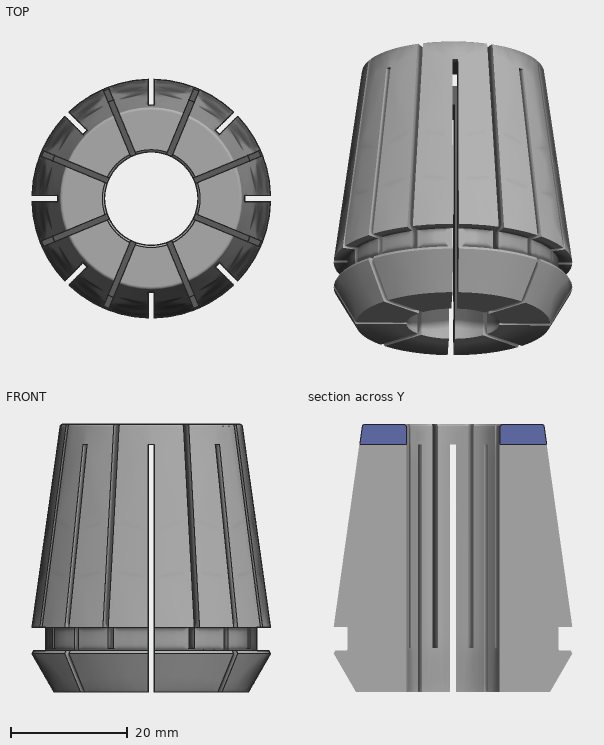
import cadquery as cq
import math

length = 46.0
major_radius = 20.5
bore_radius = 8.0

taper_half_angle = 8.0
taper_bottom_z = 11.1
nose_radius = major_radius - (length - taper_bottom_z) * math.tan(math.radians(taper_half_angle))

groove_radius = 18.15
groove_corner_radius = 0.2
collar_top_z = 7.1
collar_half_angle = 30.0
collar_widest_z = 6.6
collar_bottom_radius = major_radius - collar_widest_z * math.tan(math.radians(collar_half_angle))
collar_edge_width = 0.3

nose_edge_radius = 0.5
bore_chamfer = 0.4

slot_count = 8
slot_width = 1.0
slot_pitch = 360.0 / slot_count
lower_slot_top_z = 42.5
upper_slot_bottom_z = 7.5
slot_reach = major_radius + 1.0


def make_body():
    """Revolve the outer profile, then round the outer nose edge."""
    profile = (
        cq.Workplane("XZ")
        .moveTo(0, 0)
        .lineTo(collar_bottom_radius, 0)
        .lineTo(major_radius, collar_widest_z)
        .lineTo(major_radius - collar_edge_width, collar_top_z)
        .lineTo(groove_radius + groove_corner_radius, collar_top_z)
        .radiusArc((groove_radius, collar_top_z + groove_corner_radius), groove_corner_radius)
        .lineTo(groove_radius, taper_bottom_z)
        .lineTo(major_radius, taper_bottom_z)
        .lineTo(nose_radius, length)
        .lineTo(0, length)
        .close()
    )
    body = profile.revolve(360, (0, 0, 0), (0, 1, 0))
    return body.faces(">Z").edges().fillet(nose_edge_radius)


def make_bore():
    """Through bore with a chamfered mouth at the nose."""
    profile = (
        cq.Workplane("XZ")
        .moveTo(0, 0)
        .lineTo(bore_radius, 0)
        .lineTo(bore_radius, length - bore_chamfer)
        .lineTo(bore_radius + bore_chamfer, length)
        .lineTo(0, length)
        .close()
    )
    return profile.revolve(360, (0, 0, 0), (0, 1, 0))


def make_slots(bottom_z, top_z, first_angle):
    """Ring of radial slots, each running from the axis past the outside."""
    blade = (
        cq.Workplane("XY")
        .box(slot_reach, slot_width, top_z - bottom_z, centered=(False, True, False))
        .translate((0, 0, bottom_z))
    )
    slots = cq.Workplane("XY")
    for index in range(slot_count):
        angle = first_angle + index * slot_pitch
        slots = slots.add(blade.rotate((0, 0, 0), (0, 0, 1), angle))
    return slots.combine()


lower_slots = make_slots(0, lower_slot_top_z, 0)
upper_slots = make_slots(upper_slot_bottom_z, length, slot_pitch / 2)

result = make_body().cut(make_bore()).cut(lower_slots).cut(upper_slots)